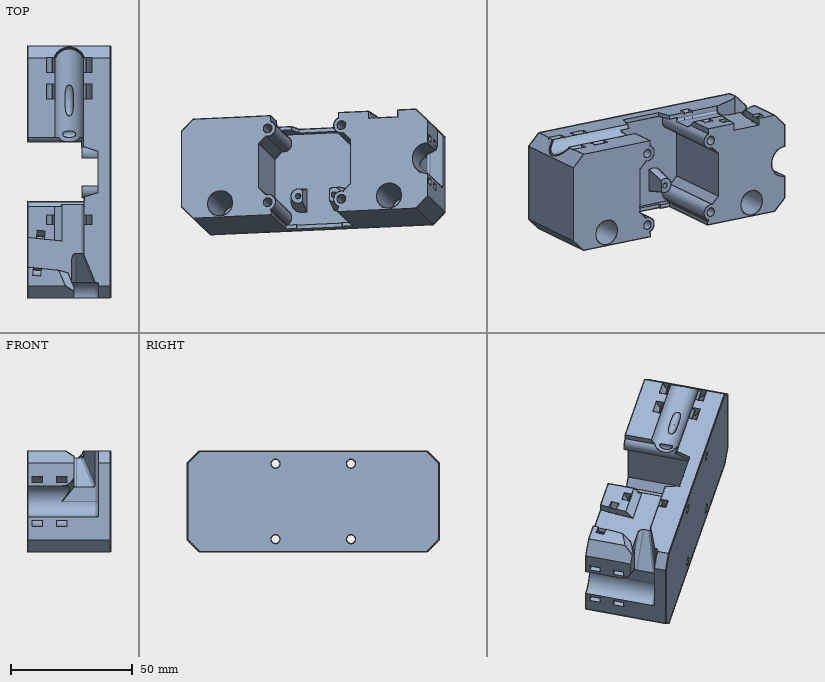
import cadquery as cq
import math

depth, length, height = 34.1, 103.6, 41.6
half_length, half_height = length / 2, height / 2
corner_chamfer = 5.0
back_edge_chamfer = 0.3
clear = 1.0

screw_half_pitch = 15.5
screw_dia = 3.6
post_radius = 3.28
pocket_half_width = 19.25
pocket_side_half_height = 9.25
opening_half_width = 14.25
pocket_floor_x = 31.5
lip_thickness = 1.6
lip_x = 21.95
lip_notch_start_x, lip_notch_x = 23.1, 28.8
lip_notch_inner, lip_notch_outer = 8.5, 10.3
lower_opening_half_width = 13.95
lower_notch_x, lower_notch_half_width = 29.8, 9.55

boss_y, boss_z = 7.5, -8.7
boss_base_radius, boss_tip_radius = 5.0, 3.0
boss_tip_x = 22.2
boss_flat_y = 5.7
boss_hole_dia = 2.17
boss_height = pocket_floor_x - boss_tip_x

socket_dia, socket_depth = 10.5, 30.0
socket_y, socket_z = 35.5, -15.05

groove_x, groove_radius, groove_bottom_z = 17.05, 6.25, 16.7
groove_axis_z = groove_bottom_z + groove_radius
groove_end_y = lip_notch_outer
groove_end_bevel = 0.4
dimple_y, dimple_radius = 29.4, 1.75
dimple_depth, dimple_sweep_radius = 1.3, 16.0

floor_z = 17.9
floor_depth = half_height - floor_z
channel_angle = math.radians(5.8)
channel_edge_rear_y, channel_edge_front_y = -26.9, -39.1
shelf_left_top_x, shelf_left_floor_x = 10.95, 14.1
shelf_right_x, shelf_fillet = 23.15, 0.9
shelf_right_floor_x = shelf_right_x - shelf_fillet
shelf_end_y = -33.5
bevel_top_x, bevel_floor_x, bevel_start_y = 12.7, 16.0, -40.3
bevel_run = 0.43

trough_radius = 6.45
trough_end_x = 29.1
trough_back_y = -half_length + trough_radius
trough_fillet = 1.0
slot_left_x, ramp_left_x = 19.1, 18.05
ramp_left_fillet, ramp_right_fillet = 1.9, 0.9
ramp_start_y, ramp_end_z = -33.4, 6.0
ramp_right_start_x, ramp_right_end_x = 22.8, 27.7
flare_start_x, flare_front_z, flare_bow = 14.1, 10.3, 0.8

tie_inner, tie_outer = 8.0, 9.55
tie_mouth_half_width = 5.94
tie_mouth_bevel = 0.9
tie_mouth_depth = 1.5
rear_tie_width, rear_tie_ys = 6.1, (43.9, 33.0)
front_tie_width, front_tie_y = 3.9, -19.65
channel_tie_width, channel_tie_x, channel_tie_y = 3.3, 4.6, -33.35
trough_tie_inner, trough_tie_outer = 7.85, 10.25
trough_tie_width, trough_tie_xs = 4.35, (3.93, 13.95)


def box(x0, x1, y0, y1, z0, z1):
    return cq.Workplane("XY").box(x1 - x0, y1 - y0, z1 - z0, centered=False).translate((x0, y0, z0))


def prism_z(points, z0, z1):
    return cq.Workplane("XY").workplane(offset=z0).polyline(points).close().extrude(z1 - z0)


def prism_y(points, y0, y1):
    """Extrude an XZ outline from y0 up to y1."""
    return cq.Workplane("XZ").workplane(offset=-y0).polyline(points).close().extrude(y0 - y1)


def rod_x(radius, x0, x1, y, z):
    return cq.Workplane("YZ").workplane(offset=x0).center(y, z).circle(radius).extrude(x1 - x0)


def rod_y(radius, y0, y1, x, z):
    return cq.Workplane("XZ").workplane(offset=-y0).center(x, z).circle(radius).extrude(y0 - y1)


def make_block():
    block = cq.Workplane("XY").box(depth, length, height).translate((depth / 2, 0, 0))
    block = block.edges("|X").chamfer(corner_chamfer)
    return block.faces(">X").edges().chamfer(back_edge_chamfer)


def make_pocket():
    """Octagonal pocket, open through top and bottom, with four screw posts left standing."""
    w, h, o = pocket_half_width, pocket_side_half_height, opening_half_width
    octagon = [(w, h), (o, o), (-o, o), (-w, h), (-w, -h), (-o, -o), (o, -o), (w, -h)]
    pocket = cq.Workplane("YZ").polyline(octagon).close().extrude(pocket_floor_x)
    rim_z = half_height - lip_thickness
    pocket = pocket.union(box(0, pocket_floor_x, -o, o, -rim_z, rim_z))
    pocket = pocket.union(box(0, lip_x, -o, o, 0, half_height))
    for x, w in ((lip_notch_x, lower_opening_half_width), (lower_notch_x, lower_notch_half_width)):
        pocket = pocket.union(box(0, x, -w, w, -half_height, 0))
    notch = [
        (0, -lip_notch_outer),
        (lip_notch_start_x, -lip_notch_outer),
        (lip_notch_x, -lip_notch_inner),
        (lip_notch_x, lip_notch_inner),
        (lip_notch_start_x, lip_notch_outer),
        (0, lip_notch_outer),
    ]
    pocket = pocket.union(prism_z(notch, 0, half_height))
    for y in (-screw_half_pitch, screw_half_pitch):
        for z in (-screw_half_pitch, screw_half_pitch):
            pocket = pocket.cut(rod_x(post_radius, 0, pocket_floor_x, y, z))
    return pocket


def make_boss(side):
    """Half cone standing on the pocket floor, flat toward the middle of the part."""
    cone = cq.Workplane(cq.Solid.makeCone(
        boss_base_radius, boss_tip_radius, boss_height,
        cq.Vector(pocket_floor_x, side * boss_y, boss_z), cq.Vector(-1, 0, 0)))
    flat = box(0, depth, -boss_flat_y, boss_flat_y, -half_height, half_height)
    hole = rod_x(boss_hole_dia / 2, boss_tip_x, pocket_floor_x, side * boss_y, boss_z)
    return cone.cut(flat).cut(hole)


def make_rear_groove():
    groove = rod_y(groove_radius, groove_end_y, half_length + clear, groove_x, groove_axis_z)
    bevel_start = half_length - corner_chamfer
    groove = groove.union(make_dimple())
    rim = rod_y(groove_radius + groove_end_bevel, bevel_start, half_length + clear, groove_x, groove_axis_z)
    slope_top = half_height - groove_end_bevel
    above_slope = (
        cq.Workplane("YZ")
        .polyline([
            (bevel_start, slope_top),
            (half_length, slope_top - corner_chamfer),
            (half_length, half_height),
            (bevel_start, half_height),
        ])
        .close()
        .extrude(depth)
    )
    return groove.union(rim.intersect(above_slope))


def make_dimple():
    """Shallow lens in the groove bottom, the lowest part of a large upright torus."""
    centre = cq.Vector(groove_x, dimple_y, groove_bottom_z - dimple_depth + dimple_sweep_radius)
    torus = cq.Solid.makeTorus(
        dimple_sweep_radius - dimple_radius, dimple_radius, centre, cq.Vector(1, 0, 0))
    return cq.Workplane(torus)


def make_front_shelf():
    """Sloping-sided groove from the pocket into the front block, with the side channel joining it."""
    shelf_outline = [
        (shelf_left_floor_x, floor_z),
        (shelf_right_x, floor_z),
        (shelf_right_x, half_height),
        (shelf_left_top_x, half_height),
    ]
    shelf = prism_y(shelf_outline, shelf_end_y, -lip_notch_outer)
    shelf = shelf.edges("|Y and >X and <Z").fillet(shelf_fillet)
    drop = math.tan(channel_angle)
    channel = [
        (0, channel_edge_rear_y),
        (shelf_right_floor_x, channel_edge_rear_y - drop * shelf_right_floor_x),
        (shelf_right_floor_x, bevel_start_y - clear),
        (bevel_floor_x, bevel_start_y - clear),
        (bevel_top_x, channel_edge_front_y - drop * bevel_top_x),
        (0, channel_edge_front_y),
    ]
    return shelf.union(prism_z(channel, floor_z, half_height))


def make_front_bevel():
    """Sloping flank that widens the front outlet of the shelf toward the top."""
    reach = half_length + clear + bevel_start_y
    shift = bevel_run * reach
    front_y = bevel_start_y - reach
    right_x = ramp_right_start_x
    floor = [(bevel_floor_x, bevel_start_y), (bevel_floor_x + shift, front_y), (right_x, front_y),
             (right_x, bevel_start_y)]
    top = [(bevel_top_x, bevel_start_y), (bevel_top_x + shift, front_y), (right_x, front_y),
           (right_x, bevel_start_y)]
    return (
        cq.Workplane("XY").workplane(offset=floor_z).polyline(floor).close()
        .workplane(offset=floor_depth).polyline(top).close()
        .loft(ruled=True)
    )


def make_ramp():
    """Funnel falling from the shelf floor to the trough, its right wall slanting outward."""
    plan = [
        (ramp_left_x, ramp_start_y),
        (ramp_right_start_x, ramp_start_y),
        (ramp_right_end_x, trough_back_y),
        (ramp_left_x, trough_back_y),
    ]
    side = [
        (ramp_start_y, floor_z),
        (ramp_start_y, half_height),
        (trough_back_y, half_height),
        (trough_back_y, ramp_end_z),
    ]
    above_ramp = cq.Workplane("YZ").polyline(side).close().extrude(depth)
    ramp = prism_z(plan, 0, half_height).intersect(above_ramp)
    middle = (ramp_start_y + trough_back_y) / 2
    slope_z = (floor_z + ramp_end_z) / 2
    left_edge = cq.selectors.NearestToPointSelector((ramp_left_x, middle, slope_z))
    ramp = ramp.edges(left_edge).fillet(ramp_left_fillet)
    right_x = (ramp_right_start_x + ramp_right_end_x) / 2
    right_edge = cq.selectors.NearestToPointSelector((right_x, middle, slope_z))
    return ramp.edges(right_edge).fillet(ramp_right_fillet)


def make_trough():
    front_y = -half_length - clear
    trough = rod_x(trough_radius, 0, trough_end_x, -half_length, 0)
    trough = trough.faces(">X").edges().fillet(trough_fillet)
    slot = box(slot_left_x, trough_end_x, front_y, trough_back_y, 0, half_height + clear)
    slot = slot.edges(">X and >Y").fillet(trough_fillet)
    return trough.union(slot).union(make_trough_flare())


def make_trough_flare():
    """Curved flank leading from the trough's upper edge up into the slot."""
    right_x = trough_end_x - trough_fillet
    mid = ((flare_start_x + slot_left_x) / 2 + flare_bow, (trough_radius + flare_front_z) / 2 - flare_bow)
    front_wire = (
        cq.Workplane("XZ", origin=(0, -half_length, 0))
        .moveTo(flare_start_x, trough_radius)
        .threePointArc(mid, (slot_left_x, flare_front_z))
        .lineTo(right_x, flare_front_z).lineTo(right_x, 0).close().val()
    )
    back_wire = (
        cq.Workplane("XZ", origin=(0, trough_back_y, 0))
        .moveTo(flare_start_x, 0)
        .lineTo(slot_left_x, ramp_end_z)
        .lineTo(right_x, ramp_end_z).lineTo(right_x, 0).close().val()
    )
    return cq.Workplane(cq.Solid.makeLoft([front_wire, back_wire], True))


def make_top_tie(width, x, y, angle=0.0):
    """Curved tunnel under a top groove that runs along Y, turned about Z by angle."""
    ring = rod_y(tie_outer, -width / 2, width / 2, 0, groove_axis_z)
    ring = ring.cut(rod_y(tie_inner, -width / 2, width / 2, 0, groove_axis_z))
    mouth_z = half_height - tie_mouth_depth
    for side in (-1, 1):
        mouth = [
            (side * tie_mouth_half_width, half_height),
            (side * (tie_mouth_half_width + tie_mouth_bevel), mouth_z),
            (side * tie_inner, mouth_z),
            (side * tie_inner, half_height),
        ]
        ring = ring.union(prism_y(mouth, -width / 2, width / 2))
    return ring.rotate((0, 0, 0), (0, 0, 1), angle).translate((x, y, 0))


def make_trough_tie(x):
    x0, x1 = x - trough_tie_width / 2, x + trough_tie_width / 2
    outer = rod_x(trough_tie_outer, x0, x1, -half_length, 0)
    return outer.cut(rod_x(trough_tie_inner, x0, x1, -half_length, 0))


part = make_block().cut(make_pocket())
for side in (-1, 1):
    part = part.union(make_boss(side))
    part = part.cut(rod_x(socket_dia / 2, 0, socket_depth, side * socket_y, socket_z))
    for z in (-screw_half_pitch, screw_half_pitch):
        part = part.cut(rod_x(screw_dia / 2, 0, depth, side * screw_half_pitch, z))

part = part.cut(make_rear_groove())
part = part.cut(make_front_shelf())
part = part.cut(make_front_bevel())
part = part.cut(make_ramp())
part = part.cut(make_trough())

for tie_y in rear_tie_ys:
    part = part.cut(make_top_tie(rear_tie_width, groove_x, tie_y))
part = part.cut(make_top_tie(front_tie_width, groove_x, front_tie_y))
channel_turn = 90 - math.degrees(channel_angle)
part = part.cut(make_top_tie(channel_tie_width, channel_tie_x, channel_tie_y, channel_turn))
for tie_x in trough_tie_xs:
    part = part.cut(make_trough_tie(tie_x))

result = part